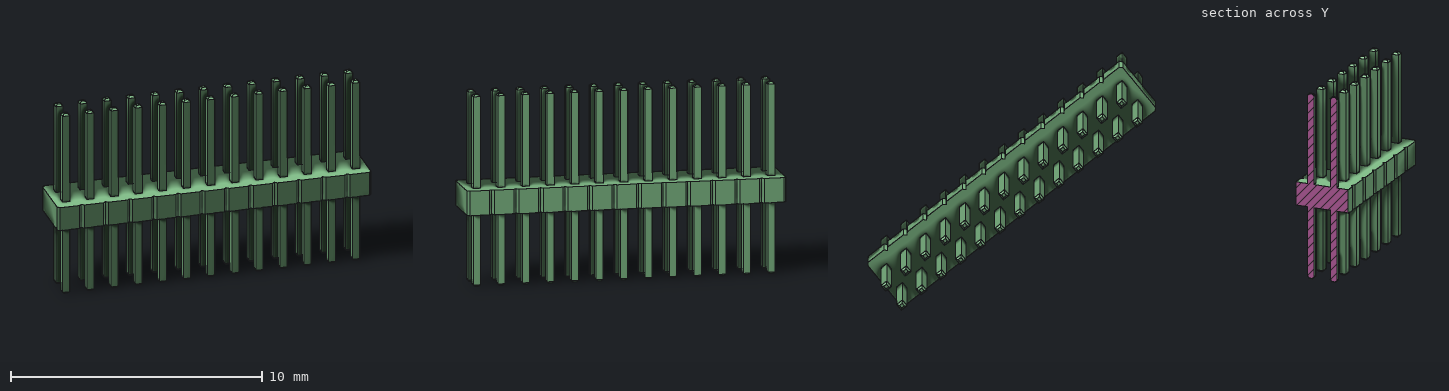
import cadquery as cq

row_count = 13
column_count = 2
body_length = 13.0
pitch = body_length / row_count

body_width = 2.3
body_height = pitch
corner_cut = 0.1

pin_length = 7.8
pin_side = 0.3
tip_chamfer = 0.079
pin_below_body = 3 * pitch

body_bottom = pin_below_body - pin_length / 2


def centred_offsets(count):
    """Positions of `count` items spaced one pitch apart about zero."""
    return [(i - (count - 1) / 2) * pitch for i in range(count)]


def make_block():
    """Insulator block for one pin row, with its four vertical corners cut off."""
    block = cq.Workplane("XY").box(body_width, pitch, body_height, centered=(True, True, False))
    block = block.edges("|Z").chamfer(corner_cut)
    return block.translate((0, 0, body_bottom))


def make_pin():
    """Square pin along Z, chamfered at both ends."""
    return cq.Workplane("XY").box(pin_side, pin_side, pin_length).faces("|Z").chamfer(tip_chamfer)


def make_row():
    """One insulator block with its pins through it, centred on Y = 0."""
    row = make_block()
    pin = make_pin()
    for x in centred_offsets(column_count):
        row = row.union(pin.translate((x, 0, 0)))
    return row


row = make_row()
row_positions = centred_offsets(row_count)

result = row.translate((0, row_positions[0], 0))
for y in row_positions[1:]:
    result = result.union(row.translate((0, y, 0)))
result = result.clean()